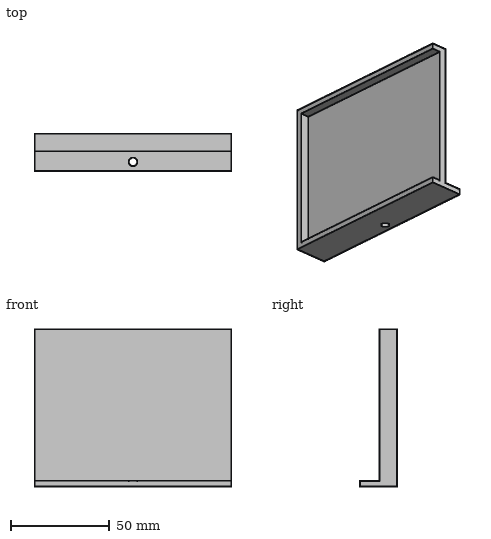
import cadquery as cq

length = 100.0
height = 80.0

flange_thickness = 3.0
web_thickness = 4.0
front_ledge = 10.0
back_ledge = 5.0
end_wall_thickness = 3.0

hole_diameter = 4.2
hole_from_front = 4.7

depth = front_ledge + web_thickness + back_ledge
web_back = front_ledge + web_thickness


def block(size_x, size_y, size_z, corner):
    """Box with its lowest X, Y, Z corner at the given point."""
    return cq.Workplane("XY").box(size_x, size_y, size_z, centered=False).translate(corner)


bottom_flange = block(length, depth, flange_thickness, (0, 0, 0))
web = block(length, web_thickness, height, (0, front_ledge, 0))
top_flange = block(
    length, web_thickness + back_ledge, flange_thickness, (0, front_ledge, height - flange_thickness)
)

end_wall = block(end_wall_thickness, back_ledge, height, (length - end_wall_thickness, web_back, 0))

hole = (
    cq.Workplane("XY")
    .center(length / 2, hole_from_front)
    .circle(hole_diameter / 2)
    .extrude(flange_thickness)
)

result = bottom_flange.union(web).union(top_flange).union(end_wall).cut(hole)